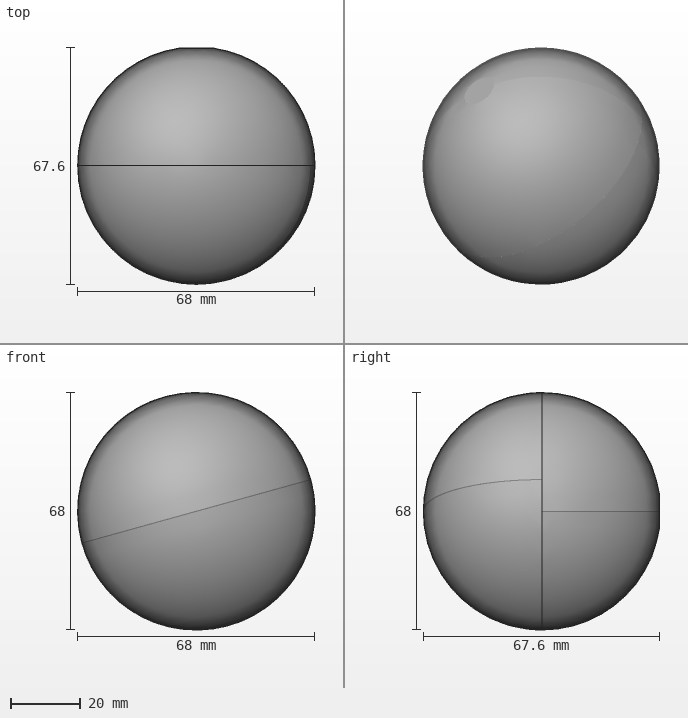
import math

import cadquery as cq

ball_radius = 34.0
pin_radius = 5.0
front_twist = 15.5

pin_outer_end = math.sqrt(ball_radius**2 - pin_radius**2)
pin_inner_end = -ball_radius / 2

ORIGIN = (0, 0, 0)
Y_DIRECTION = (0, 1, 0)
cutter_size = 2 * ball_radius


def quarter_ball(y_side, z_side):
    """Quarter of the ball on the given sides (+1 or -1) of the planes Y = 0 and Z = 0."""
    cutter_centre = (0, y_side * cutter_size / 2, z_side * cutter_size / 2)
    cutter = cq.Workplane("XY").box(2 * cutter_size, cutter_size, cutter_size).translate(cutter_centre)
    return cq.Workplane("XY").sphere(ball_radius).intersect(cutter)


def half_ball(y_side):
    """One solid half whose round face keeps its equator edge, so the twist of the half stays visible."""
    upper = quarter_ball(y_side, 1)
    lower = quarter_ball(y_side, -1)
    return upper.union(lower, clean=False)


def rod_along_y(y_start, y_end):
    """Round rod of the pin's radius on the Y axis."""
    start = cq.Vector(0, y_start, 0)
    return cq.Workplane(cq.Solid.makeCylinder(pin_radius, y_end - y_start, start, cq.Vector(*Y_DIRECTION)))


pivot_pin = rod_along_y(pin_inner_end, pin_outer_end)

pin_bore = rod_along_y(pin_inner_end, ball_radius)

back_half = half_ball(1).cut(pin_bore, clean=False)

front_half = half_ball(-1).cut(pin_bore, clean=False).rotate(ORIGIN, Y_DIRECTION, -front_twist)

result = cq.Compound.makeCompound(
    [
        back_half.solids().val(),
        front_half.solids().val(),
        pivot_pin.val(),
    ]
)